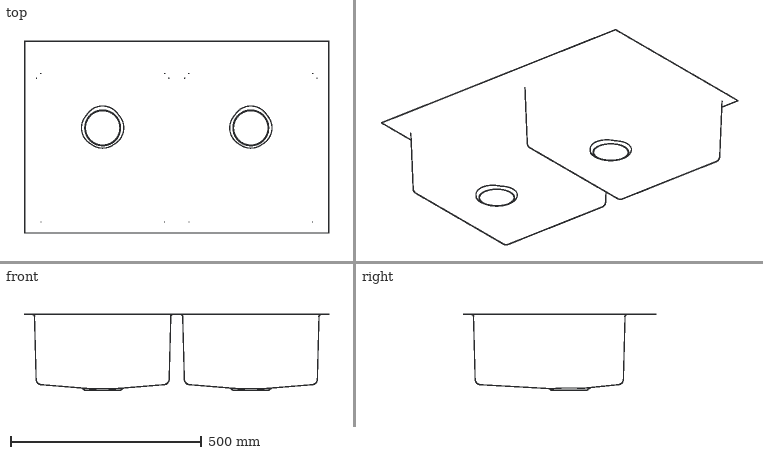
import cadquery as cq
import math

SHEET = 1.2
DECK_X = 798.0
DECK_Y = 504.0
TOTAL_DEPTH = 200.0

OPENING_X = 370.0
OPENING_Y = 410.0
FRONT_MARGIN = 19.5
SIDE_MARGIN = 19.5
LIP_RADIUS = 6.8

WALL_DRAFT = 1.5
CORNER_RADIUS = 13.5
RIM_DEPTH = 184.5
FLOOR_FALL = 13.0

DRAIN_SETBACK = 153.0
DRAIN_HOLE_RADIUS = 45.0
DRAIN_RIM_RADIUS = 55.0
SEAT_DEPTH = 6.8
SEAT_OVERLAP = 4.0

SEAT_FLARE = DRAIN_RIM_RADIUS - DRAIN_HOLE_RADIUS
SEAT_WALL = SHEET * math.hypot(SEAT_FLARE, SEAT_DEPTH) / SEAT_DEPTH
DRAFT_TAN = math.tan(math.radians(WALL_DRAFT))
BOWL_X = OPENING_X - 2 * LIP_RADIUS
BOWL_Y = OPENING_Y - 2 * LIP_RADIUS
PITCH = DECK_X - 2 * SIDE_MARGIN - OPENING_X
BOWL_CENTER_Y = -DECK_Y / 2 + FRONT_MARGIN + OPENING_Y / 2
DRAIN_Y = OPENING_Y / 2 - DRAIN_SETBACK


def bowl_block(offset):
    """Filled bowl, grown outward by offset from the inside faces of the sheet."""
    depth = RIM_DEPTH + offset
    radius = CORNER_RADIUS + offset
    block = (
        cq.Workplane("XY")
        .rect(BOWL_X + 2 * offset, BOWL_Y + 2 * offset)
        .extrude(-depth, taper=WALL_DRAFT)
        .edges("not >Z")
        .fillet(radius)
    )
    inset = depth * DRAFT_TAN + radius / math.tan(math.radians(45 + WALL_DRAFT / 2))
    half_x = BOWL_X / 2 + offset - inset
    half_y = BOWL_Y / 2 + offset - inset
    return block.union(floor_pyramid(half_x, half_y, -depth))


def floor_pyramid(half_x, half_y, base_z):
    """Inverted pyramid whose tip lies on the drain axis."""
    base = [
        cq.Vector(x, y, base_z)
        for x, y in ((-half_x, -half_y), (half_x, -half_y), (half_x, half_y), (-half_x, half_y))
    ]
    tip = cq.Vector(0, DRAIN_Y, base_z - FLOOR_FALL)
    outlines = [base] + [[base[i - 1], base[i], tip] for i in range(len(base))]
    faces = [cq.Face.makeFromWires(cq.Wire.makePolygon(points, close=True)) for points in outlines]
    return cq.Workplane(obj=cq.Solid.makeSolid(cq.Shell.makeShell(faces)))


def drain_cone(radial_growth):
    """Conical drain seat, carried on upward at the same slope into the bowl."""
    height = SEAT_DEPTH + SEAT_OVERLAP
    bottom_radius = DRAIN_HOLE_RADIUS + radial_growth
    cone = cq.Solid.makeCone(
        bottom_radius, bottom_radius + height * SEAT_FLARE / SEAT_DEPTH, height,
        pnt=cq.Vector(0, DRAIN_Y, -TOTAL_DEPTH))
    return cq.Workplane(obj=cone)


def bowl_outside():
    """Filled bowl and drain seat, bounded by the outer faces of the sheet."""
    return bowl_block(SHEET).union(drain_cone(SEAT_WALL))


def bowl_inside():
    """Hollow of the bowl and drain seat, bounded by the inner faces of the sheet."""
    return bowl_block(0).union(drain_cone(0))


def at_bowls(shape):
    """Copies of a shape built on the bowl axis, one at each bowl."""
    return [shape.translate((side * PITCH / 2, BOWL_CENTER_Y, 0)) for side in (-1, 1)]


def lip_edges(z):
    """Edges around both bowls at height z, leaving out the deck outline."""
    reach = DECK_X / 2 - SIDE_MARGIN
    return cq.selectors.BoxSelector(
        (-reach, BOWL_CENTER_Y - OPENING_Y / 2, z - SHEET / 4),
        (reach, BOWL_CENTER_Y + OPENING_Y / 2, z + SHEET / 4))


def sink():
    """Flat deck with two bowls hanging from rolled lips."""
    body = cq.Workplane("XY").rect(DECK_X, DECK_Y).extrude(-SHEET)
    for bowl in at_bowls(bowl_outside()):
        body = body.union(bowl)
    body = body.edges(lip_edges(-SHEET)).fillet(LIP_RADIUS - SHEET)
    for hollow in at_bowls(bowl_inside()):
        body = body.cut(hollow)
    return body.edges(lip_edges(0)).fillet(LIP_RADIUS)


result = sink().solids()